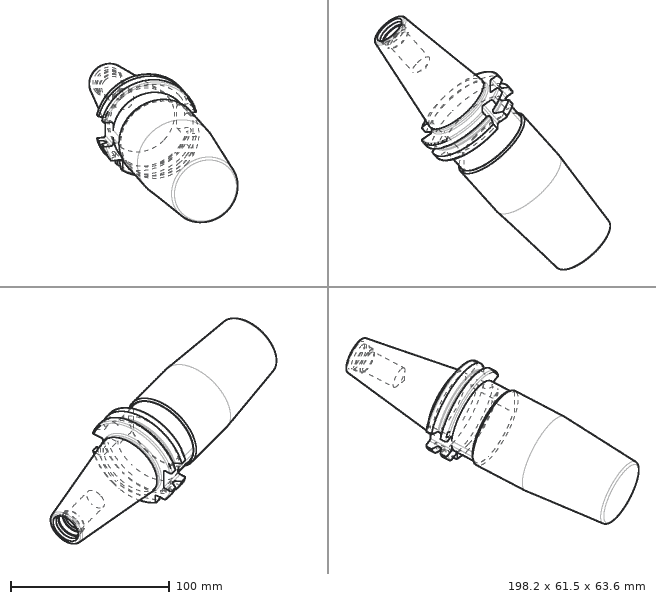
import cadquery as cq
import math


GAUGE_RADIUS = 44.45 / 2
TAPER_SLOPE = 7 / 48
SHANK_LENGTH = 68.25
SHANK_EDGE_RADIUS = 1.0
TAPER_RUNOUT = 0.4
NECK_RADIUS = 21.9
NECK_START = 0.9
NECK_FILLET = 1.0

FLANGE_START = 3.2
FLANGE_END = 19.1
FLANGE_RADIUS = 63.55 / 2
FLANGE_EDGE_RADIUS = 1.0
GROOVE_CENTRE = 11.1
GROOVE_WIDTH = 6.75
GROOVE_DEPTH = 3.9
GROOVE_ROOT_RADIUS = 0.7
GROOVE_HALF_ANGLE = math.radians(30)

COLLAR_RADIUS = 25.0
BODY_START = 34.8
BODY_RADIUS = 26.5
BODY_CHAMFER = 1.2
NOSE_END = 130.0
NOSE_RADIUS = 22.0
NOSE_ANGLE = math.radians(4.5)
NOSE_EDGE_RADIUS = 1.5

SLOT_WIDTH = 16.1
SLOT_CORNER_RADIUS = 1.2
SHALLOW_SLOT_FLOOR = 24.86
DEEP_SLOT_FLOOR = 22.5
NOTCH_OFFSET = 18.3
NOTCH_CORNER_RADIUS = 1.2

PILOT_RADIUS = 17 / 2
PILOT_DEPTH = 8.2
PILOT_CHAMFER = 0.3
ENTRY_RADIUS = 9.0
ENTRY_DEPTH = 4.3
ENTRY_MOUTH_RADIUS = 9.8
ENTRY_MOUTH_DEPTH = 2.0
CORE_RADIUS = 13.835 / 2
CORE_CHAMFER = 1.0
CORE_DEPTH = 32.0
DRILL_TIP_HALF_ANGLE = math.radians(60)

SHANK_START = -SHANK_LENGTH
CUT_REACH = 2 * FLANGE_RADIUS


def taper_radius(x):
    """Radius of the 7:24 taper at axial position x."""
    return GAUGE_RADIUS + x * TAPER_SLOPE


def revolve_about_x(points):
    """Turn a closed (x, radius) outline about the X axis."""
    return cq.Workplane("XY").polyline(points).close().revolve(360, (0, 0, 0), (1, 0, 0))


def make_shank():
    fillet_start = FLANGE_START - NECK_FILLET
    diagonal = NECK_FILLET * math.sqrt(0.5)
    fillet_middle = (fillet_start + diagonal, NECK_RADIUS + NECK_FILLET - diagonal)
    shank = (
        cq.Workplane("XY")
        .moveTo(SHANK_START, 0)
        .lineTo(SHANK_START, taper_radius(SHANK_START))
        .lineTo(-TAPER_RUNOUT, taper_radius(-TAPER_RUNOUT))
        .lineTo(NECK_START, NECK_RADIUS)
        .lineTo(fillet_start, NECK_RADIUS)
        .threePointArc(fillet_middle, (FLANGE_START, NECK_RADIUS + NECK_FILLET))
        .lineTo(FLANGE_START, 0)
        .close()
        .revolve(360, (0, 0, 0), (1, 0, 0))
    )
    return shank.faces("<X").edges().fillet(SHANK_EDGE_RADIUS)


def make_flange():
    disc = revolve_about_x([
        (FLANGE_START, 0),
        (FLANGE_START, FLANGE_RADIUS),
        (FLANGE_END, FLANGE_RADIUS),
        (FLANGE_END, 0),
    ])
    disc = disc.edges("%CIRCLE").fillet(FLANGE_EDGE_RADIUS)
    root_radius = FLANGE_RADIUS - GROOVE_DEPTH
    top_half = GROOVE_WIDTH / 2
    root_half = top_half - GROOVE_DEPTH * math.tan(GROOVE_HALF_ANGLE)
    groove = revolve_about_x([
        (GROOVE_CENTRE - top_half, CUT_REACH),
        (GROOVE_CENTRE - top_half, FLANGE_RADIUS),
        (GROOVE_CENTRE - root_half, root_radius),
        (GROOVE_CENTRE + root_half, root_radius),
        (GROOVE_CENTRE + top_half, FLANGE_RADIUS),
        (GROOVE_CENTRE + top_half, CUT_REACH),
    ])
    groove = groove.edges(cq.selectors.RadiusNthSelector(0)).fillet(GROOVE_ROOT_RADIUS)
    return disc.cut(groove)


def make_collar():
    """Cylinder joining flange and body, with a narrow flat in line with the shallow slot."""
    length = BODY_START - FLANGE_END
    collar = cq.Workplane("YZ", origin=(FLANGE_END, 0, 0)).circle(COLLAR_RADIUS).extrude(length)
    beyond_flat = cq.Workplane("XY").box(length, CUT_REACH, CUT_REACH, centered=(False, True, True))
    return collar.cut(beyond_flat.translate((FLANGE_END, -SHALLOW_SLOT_FLOOR - CUT_REACH / 2, 0)))


def make_deep_flat():
    """Cutter that carries the deep slot floor across the collar and the body chamfer."""
    length = BODY_START + BODY_CHAMFER - FLANGE_END
    cutter = cq.Workplane("XY").box(length, CUT_REACH, CUT_REACH, centered=(False, True, True))
    return cutter.translate((FLANGE_END, DEEP_SLOT_FLOOR + CUT_REACH / 2, 0))


def make_body():
    nose_start = NOSE_END - (BODY_RADIUS - NOSE_RADIUS) / math.tan(NOSE_ANGLE)
    body = revolve_about_x([
        (BODY_START, 0),
        (BODY_START, BODY_RADIUS - BODY_CHAMFER),
        (BODY_START + BODY_CHAMFER, BODY_RADIUS),
        (nose_start, BODY_RADIUS),
        (NOSE_END, NOSE_RADIUS),
        (NOSE_END, 0),
    ])
    return body.faces(">X").edges().fillet(NOSE_EDGE_RADIUS)


def make_drive_slot(side, floor):
    """Cutter for a slot through flange and neck fillet, on +Y (side = 1) or -Y (side = -1)."""
    start = FLANGE_START - NECK_FILLET
    cutter = cq.Workplane("XY").box(
        FLANGE_END - start, CUT_REACH, SLOT_WIDTH, centered=(False, True, True)
    )
    inner_edges = cutter.faces("<Y" if side > 0 else ">Y").edges("|X")
    cutter = inner_edges.fillet(SLOT_CORNER_RADIUS)
    return cutter.translate((start, side * (floor + CUT_REACH / 2), 0))


def make_notch():
    """Cutter for the L-shaped notch in the -Y, -Z quarter of the flange."""
    width = FLANGE_END - FLANGE_START
    cutter = cq.Workplane("XY").box(width, CUT_REACH, CUT_REACH, centered=(False, True, True))
    cutter = cutter.edges("|X and >Y and >Z").fillet(NOTCH_CORNER_RADIUS)
    centre = -(NOTCH_OFFSET + CUT_REACH / 2)
    return cutter.translate((FLANGE_START, centre, centre))


def make_pull_stud_hole():
    entry_end = SHANK_START + ENTRY_DEPTH
    pilot_end = SHANK_START + PILOT_DEPTH
    core_end = SHANK_START + CORE_DEPTH
    tip_length = CORE_RADIUS / math.tan(DRILL_TIP_HALF_ANGLE)
    return revolve_about_x([
        (SHANK_START, 0),
        (SHANK_START, ENTRY_MOUTH_RADIUS),
        (SHANK_START + ENTRY_MOUTH_DEPTH, ENTRY_RADIUS),
        (entry_end, ENTRY_RADIUS),
        (entry_end + PILOT_CHAMFER, PILOT_RADIUS),
        (pilot_end, PILOT_RADIUS),
        (pilot_end, CORE_RADIUS + CORE_CHAMFER),
        (pilot_end + CORE_CHAMFER, CORE_RADIUS),
        (core_end, CORE_RADIUS),
        (core_end + tip_length, 0),
    ])


result = (
    make_shank()
    .union(make_flange().cut(make_notch()))
    .union(make_collar())
    .union(make_body())
    .cut(make_drive_slot(-1, SHALLOW_SLOT_FLOOR))
    .cut(make_drive_slot(1, DEEP_SLOT_FLOOR))
    .cut(make_deep_flat())
    .cut(make_pull_stud_hole())
)